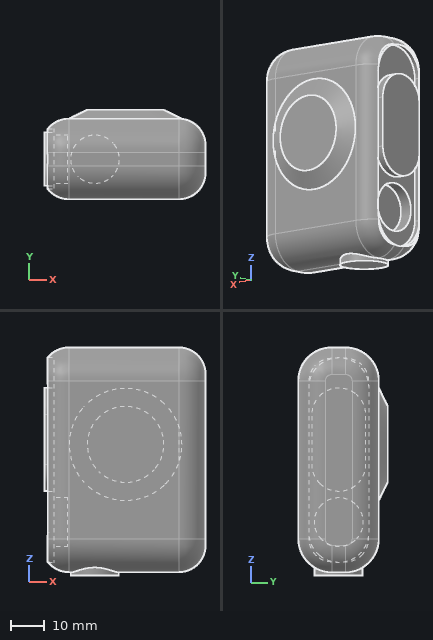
import cadquery as cq

body_right = 48.1
body_left = -0.7
body_width = 24.1
body_bottom = 1.0
body_top = 68.0
long_edge_radius = 10.0
end_radius = 8.0

panel_width = 17.9
panel_height = 60.9
panel_floor_x = 2.8
rim_x = 0.95

pad_width = 16.0
pad_height = 30.8
pad_center_z = 40.6

pocket_diameter = 14.55
pocket_center_z = 16.05
pocket_depth = 4.1

foot_diameter = 14.4
foot_center_x = 15.0
foot_root_z = 8.15

boss_base_diameter = 33.45
boss_top_diameter = 22.7
boss_height = 2.65
boss_center_x = 24.15
boss_center_z = 39.2

body_length = body_right - body_left
body_height = body_top - body_bottom
body_center_z = (body_top + body_bottom) / 2


def end_sketch(x, center_z):
    """Sketch plane facing +X, with its horizontal axis along Y."""
    return cq.Workplane("YZ", origin=(x, 0, center_z))


def upright_slot(x, center_z, width, height, depth):
    """Vertical round-ended prism extending from x toward +X."""
    return end_sketch(x, center_z).slot2D(height, width, 90).extrude(depth)


def make_body():
    block = end_sketch(body_left, body_center_z).rect(body_width, body_height).extrude(body_length)
    rounded = block.edges("|X").fillet(long_edge_radius).faces("<X or >X").edges().fillet(end_radius)
    trim = end_sketch(body_left, body_center_z).rect(body_width, body_height).extrude(rim_x - body_left)
    return rounded.cut(trim)


def make_foot():
    return cq.Workplane("XY").center(foot_center_x, 0).circle(foot_diameter / 2).extrude(foot_root_z)


def make_boss():
    base = cq.Workplane("XZ", origin=(boss_center_x, body_width / 2, boss_center_z))
    return (
        base.circle(boss_base_diameter / 2)
        .workplane(offset=-boss_height)
        .circle(boss_top_diameter / 2)
        .loft()
    )


panel_recess = upright_slot(body_left, body_center_z, panel_width, panel_height, panel_floor_x - body_left)
pad = upright_slot(0, pad_center_z, pad_width, pad_height, panel_floor_x)
pocket = end_sketch(panel_floor_x, pocket_center_z).circle(pocket_diameter / 2).extrude(pocket_depth)

result = make_body().cut(panel_recess).cut(pocket).union(pad).union(make_foot()).union(make_boss())